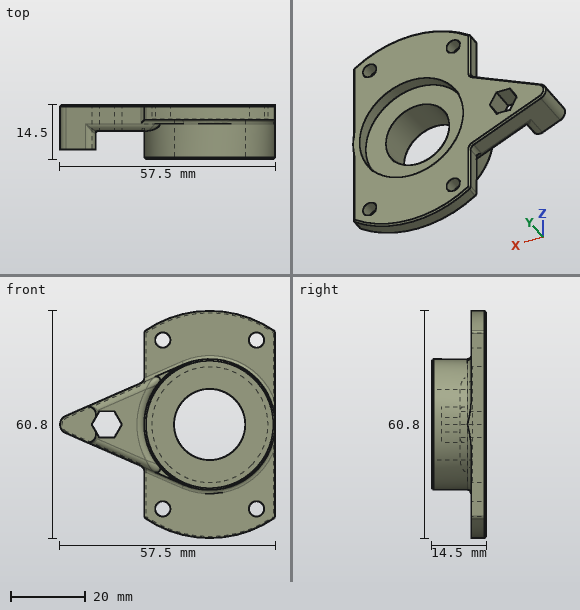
import cadquery as cq
import math


plate_radius = 30.4
plate_half_width = 17.5
plate_thickness = 4.0
plate_corner_radius = 1.0
bolt_hole_diameter = 4.0
bolt_hole_x = 12.5
bolt_hole_z = 22.55

boss_radius = 17.5
boss_height = 14.5
bore_diameter = 19.0
recess_diameter = 31.0
recess_depth = 3.65

tip_x = -40.0
tip_radius = 2.5
collar_thickness = 5.0
arm_edge_radius = 2.0
arm_thickness = collar_thickness + arm_edge_radius
arm_end_radius = 1.0

hook_height = 12.0
hook_face_x = -30.4
hook_corner_radius = 2.0
hook_foot_fillet = 0.5

hex_x = -27.5
hex_across_corners = 8.0

edge_chamfer = 0.5
collar_fillet = 1.0
arm_root_radius = 1.5

tip_center_x = tip_x + tip_radius
side_slope = math.asin((boss_radius - tip_radius) / -tip_center_x)
side_normal = (-math.sin(side_slope), math.cos(side_slope))
tip_tangent = (tip_center_x + tip_radius * side_normal[0], tip_radius * side_normal[1])
boss_tangent = (boss_radius * side_normal[0], boss_radius * side_normal[1])


def mirrored(point):
    """Reflect an (X, Z) point across the arm centreline."""
    return (point[0], -point[1])


def side_point_at(x):
    """Point of the upper arm side at a given X."""
    return (x, tip_tangent[1] + (x - tip_tangent[0]) * math.tan(side_slope))


def cylinder(radius, height):
    return cq.Workplane("XZ").circle(radius).extrude(height)


def arm_outline(base_point, back=0):
    """Open outline on the plane at depth back: up one arm side, around the tip and down the other."""
    return (
        cq.Workplane("XZ", origin=(0, -back, 0))
        .moveTo(*base_point)
        .lineTo(*tip_tangent)
        .threePointArc((tip_x, 0), mirrored(tip_tangent))
        .lineTo(*mirrored(base_point))
    )


def make_teardrop(height):
    """Boss circle and arm merged into one smooth outline, raised to the given height."""
    outline = arm_outline(boss_tangent).threePointArc((boss_radius, 0), boss_tangent)
    return outline.close().extrude(height)


def make_silhouette():
    """Overall outline of plate and arm, as thick as the collar, with its corners rounded."""
    plate = cylinder(plate_radius, collar_thickness).intersect(
        cq.Workplane("XZ").rect(2 * plate_half_width, 2 * plate_radius).extrude(collar_thickness)
    )
    silhouette = plate.union(make_teardrop(collar_thickness))

    root = side_point_at(-plate_half_width)
    corner = (plate_half_width, math.sqrt(plate_radius**2 - plate_half_width**2))
    corner_left = (-corner[0], corner[1])
    roundings = [(root, arm_root_radius), (corner, plate_corner_radius), (corner_left, plate_corner_radius)]
    for point, radius in roundings:
        for x, z in (point, mirrored(point)):
            upright = cq.selectors.NearestToPointSelector((x, -collar_thickness / 2, z))
            silhouette = silhouette.edges(upright).fillet(radius)
    return silhouette.faces(">Y").chamfer(edge_chamfer)


def make_base():
    """Plate and collar, with a concave fillet where the collar rises from the plate."""
    slab_width = 4 * plate_radius
    slab = cq.Workplane("XZ").rect(slab_width, slab_width).extrude(plate_thickness)

    slack = 0.05
    seam = cq.selectors.BoxSelector(
        (tip_x - slack, -plate_thickness - slack, -plate_radius),
        (boss_radius + slack, -plate_thickness + slack, plate_radius),
    )
    filleted = slab.union(make_teardrop(boss_height)).edges(seam).fillet(collar_fillet)
    return filleted.intersect(make_silhouette())


def make_arm_pad():
    """Raised arm face, ending at the boss and rolled over along its whole front outline."""
    depth = arm_thickness - plate_thickness
    pad = arm_outline(boss_tangent, plate_thickness).close().extrude(depth)
    pad = pad.cut(cylinder(boss_radius, arm_thickness))

    offset = boss_radius - arm_end_radius
    center_distance = boss_radius + arm_end_radius
    along = math.sqrt(center_distance**2 - offset**2)
    end_x = offset * side_normal[0] - along * side_normal[1]
    end_z = offset * side_normal[1] + along * side_normal[0]
    side_contact = (end_x + arm_end_radius * side_normal[0], end_z + arm_end_radius * side_normal[1])
    boss_contact = (end_x * boss_radius / center_distance, end_z * boss_radius / center_distance)

    sliver = (
        cq.Workplane("XZ")
        .polyline([(end_x, end_z), side_contact, boss_tangent, boss_contact])
        .close()
        .extrude(arm_thickness)
        .cut(cylinder(arm_end_radius, arm_thickness).translate((end_x, 0, end_z)))
    )
    pad = pad.cut(sliver).cut(sliver.mirror("XY"))
    return pad.faces("<Y").edges().fillet(arm_edge_radius)


def make_hook():
    """Tip of the arm at full height, with rounded inner corners."""
    outline = arm_outline(side_point_at(hook_face_x), plate_thickness)
    hook = outline.close().extrude(hook_height - plate_thickness)
    return hook.faces(">X").edges("|Y").fillet(hook_corner_radius)


def make_arm():
    """Pad and hook with a small fillet at the foot of the hook."""
    arm = make_arm_pad().union(make_hook())
    foot = cq.selectors.NearestToPointSelector((hook_face_x, -arm_thickness, 0))
    return arm.edges(foot).fillet(hook_foot_fillet)


def make_boss():
    return cylinder(boss_radius, boss_height).faces("<Y").chamfer(edge_chamfer)


def make_openings():
    """Bore with its wider rear recess, hexagonal hole and four bolt holes."""
    bore = cylinder(bore_diameter / 2, boss_height)
    recess = cylinder(recess_diameter / 2, recess_depth)
    hex_hole = cq.Workplane("XZ").center(hex_x, 0).polygon(6, hex_across_corners).extrude(hook_height)
    bolt_holes = (
        cq.Workplane("XZ")
        .rect(2 * bolt_hole_x, 2 * bolt_hole_z, forConstruction=True)
        .vertices()
        .circle(bolt_hole_diameter / 2)
        .extrude(plate_thickness)
    )
    return bore.union(recess).union(hex_hole).union(bolt_holes)


result = make_base().union(make_arm()).union(make_boss()).cut(make_openings())